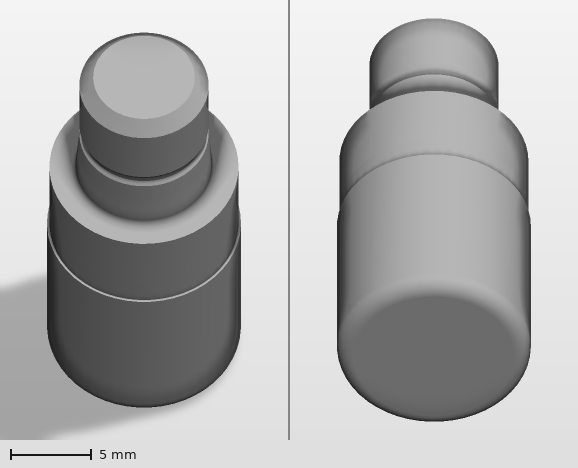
import cadquery as cq

total_height = 27.6
base_radius = 6.003
base_height = 12.0
base_rounding = 1.0
joint_height = 13.52
shoulder_height = 18.02
collar_radius = 5.85

neck_foot_radius = 4.22
neck_foot_height = 18.27
fillet_radius = neck_foot_height - shoulder_height
neck_top_height = 21.58

head_radius = 4.0
head_chamfer = 0.85
groove_radius = 3.78
groove_bottom = 21.83
groove_top = 22.15
head_bottom = 22.58


def make_base():
    """Round base with a rounded bottom rim and a short spigot of the collar's radius."""
    body = cq.Workplane("XY").circle(base_radius).extrude(base_height)
    body = body.faces("<Z").edges().fillet(base_rounding)
    spigot = (
        cq.Workplane("XY")
        .workplane(offset=base_height)
        .circle(collar_radius)
        .extrude(joint_height - base_height)
    )
    return body.union(spigot)


def make_stem():
    """Collar, tapered neck, grooved head and top chamfer, revolved about Z."""
    profile = (
        cq.Workplane("XZ")
        .moveTo(0, joint_height)
        .lineTo(collar_radius, joint_height)
        .lineTo(collar_radius, shoulder_height)
        .lineTo(neck_foot_radius + fillet_radius, shoulder_height)
        .radiusArc((neck_foot_radius, neck_foot_height), fillet_radius)
        .lineTo(head_radius, neck_top_height)
        .lineTo(groove_radius, groove_bottom)
        .lineTo(groove_radius, groove_top)
        .lineTo(head_radius, head_bottom)
        .lineTo(head_radius, total_height - head_chamfer)
        .lineTo(head_radius - head_chamfer, total_height)
        .lineTo(0, total_height)
        .close()
    )
    return profile.revolve(360, (0, 0, 0), (0, 1, 0))


base = make_base()
stem = make_stem()

result = cq.Compound.makeCompound([base.val(), stem.val()])